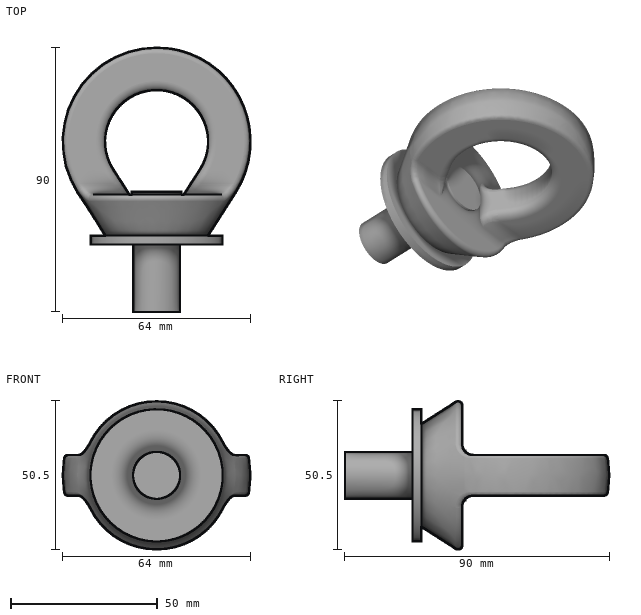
import cadquery as cq
import math

ring_radius = 32.0
ring_thickness = 14.0
hole_radius = 17.5
ring_center_y = 32.0

collar_base_radius = 17.5
collar_height = 14.0

flange_diameter = 45.0
flange_thickness = 3.0
shank_diameter = 16.0
shank_length = 23.0
head_diameter = 17.0
head_height = 1.0

rim_fillet = 1.5
opening_fillet = 3.0
root_fillet = 3.5

base_to_center = math.hypot(collar_base_radius, ring_center_y)
cone_half_angle = math.asin(ring_radius / base_to_center) - math.atan2(collar_base_radius, ring_center_y)

stock_margin = 1.0
stock_reach = ring_radius + stock_margin
stock_top = ring_center_y + ring_radius + stock_margin


def tangent_point(radius):
    """Point where a circle about the ring centre meets a line sloped like the cone."""
    x = radius * math.cos(cone_half_angle)
    y = ring_center_y - radius * math.sin(cone_half_angle)
    return x, y


def disc(diameter, start_y, length):
    """Cylinder on the Y axis, from start_y towards +Y."""
    return cq.Workplane("XZ", origin=(0, start_y, 0)).circle(diameter / 2).extrude(-length)


def revolved_envelope():
    """Cone running tangentially into a sphere, turned about the Y axis."""
    tangent_x, tangent_y = tangent_point(ring_radius)
    mid_angle = (math.pi / 2 - cone_half_angle) / 2
    arc_middle = (
        ring_radius * math.cos(mid_angle),
        ring_center_y + ring_radius * math.sin(mid_angle),
    )
    half_section = (
        cq.Workplane("XY")
        .lineTo(collar_base_radius, 0)
        .lineTo(tangent_x, tangent_y)
        .threePointArc(arc_middle, (0, ring_center_y + ring_radius))
        .close()
    )
    return half_section.revolve(360, (0, 0, 0), (0, 1, 0))


def side_profile_stock():
    """Slab as thick as the ring, spreading through concave roots into the full collar."""
    half = ring_thickness / 2
    root_z = half + root_fillet
    root_y = collar_height + root_fillet
    return (
        cq.Workplane("YZ", origin=(-stock_reach, 0, 0))
        .moveTo(stock_top, -half)
        .lineTo(root_y, -half)
        .radiusArc((collar_height, -root_z), -root_fillet)
        .lineTo(collar_height, -stock_reach)
        .lineTo(0, -stock_reach)
        .lineTo(0, stock_reach)
        .lineTo(collar_height, stock_reach)
        .lineTo(collar_height, root_z)
        .radiusArc((root_y, half), -root_fillet)
        .lineTo(stock_top, half)
        .close()
        .extrude(2 * stock_reach)
    )


def opening_tool(floor_y):
    """Round hole whose sides run on as straight tangents down to floor_y."""
    side_x, side_y = tangent_point(hole_radius)
    floor_x = side_x - (side_y - floor_y) * math.tan(cone_half_angle)
    return (
        cq.Workplane("XY", origin=(0, 0, -stock_reach))
        .moveTo(-floor_x, floor_y)
        .lineTo(-side_x, side_y)
        .threePointArc((0, ring_center_y + hole_radius), (side_x, side_y))
        .lineTo(floor_x, floor_y)
        .close()
        .extrude(2 * stock_reach)
    )


def opened_stock():
    """Stock with the rounded eye opening, closed off flat at the collar's top."""
    stock = side_profile_stock().cut(opening_tool(collar_height / 2))
    hole_top = ring_center_y + hole_radius
    hole_box = cq.selectors.BoxSelector(
        (-hole_radius, ring_center_y, -ring_thickness),
        (hole_radius, hole_top, ring_thickness),
    )
    stock = stock.edges("%CIRCLE").edges(hole_box).fillet(opening_fillet)
    stock_width = 2 * stock_reach
    floor = cq.Workplane("XY").box(stock_width, collar_height, stock_width, centered=(True, False, True))
    return stock.union(floor)


def eye():
    """Ring and collar, with the rim rounded along ring, roots and collar."""
    body = opened_stock().intersect(revolved_envelope())
    return body.edges("<Z or >Z").fillet(rim_fillet)


def bolt():
    """Flange and shank below the collar, head above it."""
    flange = disc(flange_diameter, -flange_thickness, flange_thickness)
    shank = disc(shank_diameter, -flange_thickness - shank_length, shank_length)
    head = disc(head_diameter, 0, collar_height + head_height)
    return flange.union(shank).union(head)


result = eye().union(bolt())